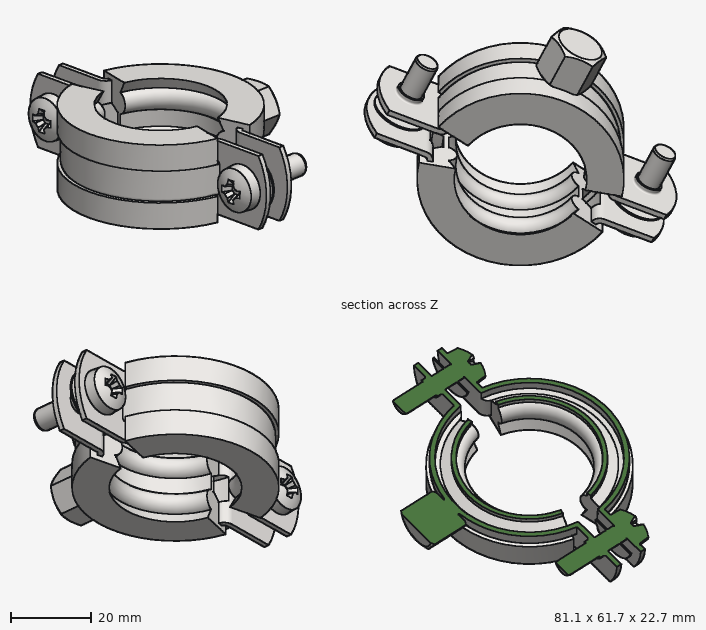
import cadquery as cq
import math


LINING_HEIGHT = 22.7
LINING_OUTER_RADIUS = 25.7
LIP_INNER_RADIUS = 16.5
END_ANGLE = 13.1
LINING_GAP = 8.6
GROOVE_RADIUS = 18.2
GROOVE_HALF_HEIGHT = 2.3
BEAD_RADIUS = 16.05
BEAD_TOP = 8.1
BEAD_MIDDLE = (GROOVE_HALF_HEIGHT + BEAD_TOP) / 2

BAND_WIDTH = 19.9
STEEL = 1.5
BAND_INNER_RADIUS = 22.1
BAND_OUTER_RADIUS = BAND_INNER_RADIUS + STEEL
RIB_RADIUS = 24.9
RIB_INNER_RADIUS = RIB_RADIUS - STEEL
RIB_CREST_HALF = 3.6
RIB_ROUND = 1.1
CHANNEL_RADIUS = 19.5
CHANNEL_FLOOR_HALF = 2.3
CHANNEL_MOUTH_HALF = 3.9
CHANNEL_CREST_HALF = 3.4

EAR_REACH = 40.55
EAR_CORNER = 37.8
EAR_GAP = 6.1
EAR_INNER = EAR_GAP / 2
EAR_OUTER = EAR_INNER + STEEL
BEND_X = 24.25
BEND_INNER_RADIUS = 1.3
BEND_OUTER_RADIUS = BEND_INNER_RADIUS + STEEL
COLLAR_DIAMETER = 7.0
COLLAR_HEIGHT = 1.4
COLLAR_FOOT = 0.5

SCREW_X = 32.4
SCREW_DIAMETER = 6.0
SCREW_TIP = 15.6
TIP_DIAMETER = 5.5
TIP_LENGTH = 0.6
NECK_LENGTH = 0.25
HEAD_DIAMETER = 12.0
HEAD_RIM_DIAMETER = 11.5
HEAD_SIDE = 3.0
HEAD_DOME = 1.8
WASHER_DIAMETER = 14.0
WASHER_THICKNESS = 0.5
WASHER_Y = -0.8
RECESS_SPAN = 7.1
RECESS_WIDTH = 2.0
RECESS_SIDES = 8
RECESS_CORE = 4.2
RECESS_FLOOR = 2.6
RECESS_DEPTH = 2.4

HEX_FLATS = 13.0
HEX_END = 36.0
HEX_FACE_DIAMETER = 11.8
HEX_CHAMFER_ANGLE = 30.0


def half_ring_sector():
    """Wedge on the +Y side between the two radial end planes, used to trim full rings."""
    reach = 2 * LINING_OUTER_RADIUS
    x = reach * math.cos(math.radians(END_ANGLE))
    y = reach * math.sin(math.radians(END_ANGLE))
    points = [(0, 0), (x, y), (x, reach), (-x, reach), (-x, y)]
    return cq.Workplane("XY").polyline(points).close().extrude(LINING_HEIGHT, both=True)


def ring(profile):
    """Turn an (r, z) profile drawn in the XZ plane all the way round Z."""
    return profile.close().revolve(360, (0, 0, 0), (0, 1, 0))


def lining():
    """Rubber half ring with two beads inside and a gap between two lips outside."""
    top = LINING_HEIGHT / 2
    lip = LINING_GAP / 2
    profile = (
        cq.Workplane("XZ")
        .moveTo(LINING_OUTER_RADIUS, top)
        .lineTo(LIP_INNER_RADIUS, top)
        .lineTo(GROOVE_RADIUS, BEAD_TOP)
        .threePointArc((BEAD_RADIUS, BEAD_MIDDLE), (GROOVE_RADIUS, GROOVE_HALF_HEIGHT))
        .lineTo(GROOVE_RADIUS, -GROOVE_HALF_HEIGHT)
        .threePointArc((BEAD_RADIUS, -BEAD_MIDDLE), (GROOVE_RADIUS, -BEAD_TOP))
        .lineTo(LIP_INNER_RADIUS, -top)
        .lineTo(LINING_OUTER_RADIUS, -top)
        .lineTo(LINING_OUTER_RADIUS, -lip)
        .lineTo(BAND_INNER_RADIUS, -lip)
        .lineTo(BAND_INNER_RADIUS, lip)
        .lineTo(LINING_OUTER_RADIUS, lip)
    )
    return ring(profile).intersect(half_ring_sector())


def band():
    """Plain strip of the band inside the lining."""
    edge = BAND_WIDTH / 2
    strip = cq.Workplane("XY").circle(BAND_OUTER_RADIUS).circle(BAND_INNER_RADIUS).extrude(edge, both=True)
    return strip.intersect(half_ring_sector())


def rib():
    """Pressed rib, running past the ends of the lining until it meets the ears."""
    half_width = RIB_CREST_HALF + RIB_ROUND
    full_ring = (
        cq.Workplane("XY")
        .circle(RIB_RADIUS)
        .extrude(half_width, both=True)
        .edges()
        .fillet(RIB_ROUND)
        .cut(cq.Workplane("XY").circle(RIB_INNER_RADIUS).extrude(half_width, both=True))
    )
    reach = LINING_OUTER_RADIUS
    ear_side = (
        cq.Workplane("XY")
        .rect(2 * reach, reach, centered=(True, False))
        .extrude(half_width, both=True)
        .translate((0, EAR_INNER + STEEL / 2, 0))
    )
    return full_ring.intersect(ear_side)


def channel():
    """Hollow behind the rib, open at both ends of the half ring."""
    profile = (
        cq.Workplane("XZ")
        .moveTo(CHANNEL_RADIUS, CHANNEL_FLOOR_HALF)
        .lineTo(BAND_INNER_RADIUS, CHANNEL_MOUTH_HALF)
        .lineTo(RIB_INNER_RADIUS, CHANNEL_CREST_HALF)
        .lineTo(RIB_INNER_RADIUS, -CHANNEL_CREST_HALF)
        .lineTo(BAND_INNER_RADIUS, -CHANNEL_MOUTH_HALF)
        .lineTo(CHANNEL_RADIUS, -CHANNEL_FLOOR_HALF)
    )
    return ring(profile)


def ear():
    """Flat ear on the +X side with a quarter bend into the band."""
    edge = BAND_WIDTH / 2
    plate = (
        cq.Workplane("XZ", origin=(0, EAR_OUTER, 0))
        .moveTo(BEND_X, -edge)
        .lineTo(EAR_CORNER, -edge)
        .threePointArc((EAR_REACH, 0), (EAR_CORNER, edge))
        .lineTo(BEND_X, edge)
        .close()
        .extrude(STEEL)
    )
    bend_y = EAR_OUTER + BEND_INNER_RADIUS
    quarter = (
        cq.Workplane("XY")
        .rect(BEND_OUTER_RADIUS, BEND_OUTER_RADIUS, centered=False)
        .extrude(edge, both=True)
        .rotate((0, 0, 0), (0, 0, 1), 180)
    )
    bend = (
        cq.Workplane("XY")
        .circle(BEND_OUTER_RADIUS)
        .circle(BEND_INNER_RADIUS)
        .extrude(edge, both=True)
        .intersect(quarter)
        .translate((BEND_X, bend_y, 0))
    )
    return plate.union(bend)


def half_clamp():
    """Half ring on the +Y side with an ear at each end."""
    right_ear = ear()
    steel = band().union(rib()).union(right_ear).union(right_ear.mirror("YZ"))
    return lining().union(steel).cut(channel())


def hex_boss():
    """Hexagon standing on the rib, chamfered at both ends, with corners at +X and -X."""
    corner_radius = HEX_FLATS / math.sqrt(3)
    face_radius = HEX_FACE_DIAMETER / 2
    chamfer = (corner_radius - face_radius) * math.tan(math.radians(HEX_CHAMFER_ANGLE))
    length = HEX_END - RIB_RADIUS
    prism = cq.Workplane("XZ").polygon(6, 2 * corner_radius).extrude(-length)
    envelope = (
        cq.Workplane("XY")
        .polyline([
            (0, 0),
            (face_radius, 0),
            (corner_radius, chamfer),
            (corner_radius, length - chamfer),
            (face_radius, length),
            (0, length),
        ])
        .close()
        .revolve(360, (0, 0, 0), (0, 1, 0))
    )
    stub = (
        cq.Workplane("XZ", origin=(0, BAND_OUTER_RADIUS, 0))
        .rect(HEX_FACE_DIAMETER / 2, 2 * RIB_CREST_HALF)
        .extrude(BAND_OUTER_RADIUS - RIB_RADIUS)
    )
    return prism.intersect(envelope).translate((0, RIB_RADIUS, 0)).union(stub)


def recess():
    """Tapered cross recess on the Y axis, its mouth at the top of the head."""
    mouth = -EAR_OUTER - HEAD_SIDE - HEAD_DOME
    plane = cq.Workplane("XZ", origin=(0, mouth, 0))
    half_step = math.pi / RECESS_SIDES
    floor_side = RECESS_FLOOR * math.tan(half_step)

    def across_corners(across_flats):
        return across_flats / math.cos(half_step)

    core = (
        plane.transformed(rotate=(0, 0, math.degrees(half_step)))
        .polygon(RECESS_SIDES, across_corners(RECESS_CORE))
        .workplane(offset=-RECESS_DEPTH)
        .polygon(RECESS_SIDES, across_corners(RECESS_FLOOR))
        .loft(combine=True)
    )
    slot = (
        plane.rect(RECESS_SPAN, RECESS_WIDTH)
        .workplane(offset=-RECESS_DEPTH)
        .rect(RECESS_FLOOR, floor_side)
        .loft(combine=True)
    )
    return core.union(slot).union(slot.rotate((0, 0, 0), (0, 1, 0), 90))


def screw():
    """Screw along the Y axis with its washer and the threaded collar of the far ear."""
    shank = SCREW_DIAMETER / 2
    tip = TIP_DIAMETER / 2
    rim = HEAD_RIM_DIAMETER / 2
    seat = -EAR_OUTER
    dome_edge = seat - HEAD_SIDE
    sphere = (rim ** 2 + HEAD_DOME ** 2) / (2 * HEAD_DOME)
    dome_mid = dome_edge - HEAD_DOME + sphere - math.sqrt(sphere ** 2 - (rim / 2) ** 2)
    turned = (
        cq.Workplane("XY")
        .moveTo(0, SCREW_TIP)
        .lineTo(tip, SCREW_TIP)
        .lineTo(shank, SCREW_TIP - TIP_LENGTH)
        .lineTo(shank, NECK_LENGTH - EAR_INNER)
        .lineTo(tip, -EAR_INNER)
        .lineTo(tip, seat)
        .lineTo(HEAD_DIAMETER / 2, seat)
        .lineTo(rim, dome_edge)
        .threePointArc((rim / 2, dome_mid), (0, dome_edge - HEAD_DOME))
        .close()
        .revolve(360, (0, 0, 0), (0, 1, 0))
    )
    collar = COLLAR_DIAMETER / 2
    flared = (
        cq.Workplane("XY")
        .moveTo(0, EAR_OUTER)
        .lineTo(collar + COLLAR_FOOT, EAR_OUTER)
        .radiusArc((collar, EAR_OUTER + COLLAR_FOOT), COLLAR_FOOT)
        .lineTo(collar, EAR_OUTER + COLLAR_HEIGHT)
        .lineTo(0, EAR_OUTER + COLLAR_HEIGHT)
        .close()
        .revolve(360, (0, 0, 0), (0, 1, 0))
    )
    washer = (
        cq.Workplane("XZ", origin=(0, WASHER_Y, 0))
        .circle(WASHER_DIAMETER / 2)
        .extrude(WASHER_THICKNESS / 2, both=True)
    )
    return turned.cut(recess()).union(flared).union(washer)


upper_half = half_clamp()
result = upper_half.union(hex_boss()).union(upper_half.mirror("XZ"))
one_screw = screw()
for x in (-SCREW_X, SCREW_X):
    result = result.union(one_screw.translate((x, 0, 0)))